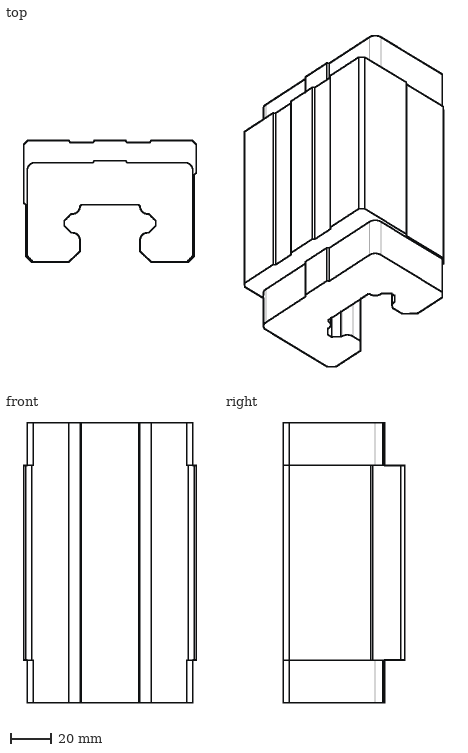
import cadquery as cq
import math


total_length = 139.4
body_length = 97.0

body_width = 86.0
body_height = 60.5
body_top_chamfer = 2.0
base_chamfer = 3.0
side_relief = 1.0
left_relief_height = 29.5
right_relief_height = 44.5

recess_depth = 1.0
recess_wall = 0.75
recess_inner = 7.75
recess_outer = 20.5

cap_width = 82.4
cap_height = 49.5
cap_corner_radius = 4.0
cap_pad_rise = 1.0

mouth_half_width = 20.5
lip_half_width = 14.9
lip_start_height = 5.3
lip_radius = 3.9
roof_half_width = 14.2
roof_height = 28.4
groove_center_height = 19.25
groove_half_width = 22.65
groove_floor_half = 1.3
groove_mouth_half = 4.6


def body_block():
    half = body_width / 2
    waist = half - side_relief
    recess_floor = body_height - recess_depth
    outline = cq.Workplane("XY").polyline([
        (-waist + base_chamfer, 0),
        (waist - base_chamfer, 0),
        (waist, base_chamfer),
        (waist, right_relief_height - side_relief),
        (half, right_relief_height),
        (half, body_height - body_top_chamfer),
        (half - body_top_chamfer, body_height),
        (recess_outer, body_height),
        (recess_outer - recess_wall, recess_floor),
        (recess_inner + recess_wall, recess_floor),
        (recess_inner, body_height),
        (-recess_inner, body_height),
        (-recess_inner - recess_wall, recess_floor),
        (-recess_outer + recess_wall, recess_floor),
        (-recess_outer, body_height),
        (-half + body_top_chamfer, body_height),
        (-half, body_height - body_top_chamfer),
        (-half, left_relief_height),
        (-waist, left_relief_height - side_relief),
        (-waist, base_chamfer),
    ]).close()
    return outline.extrude(body_length / 2, both=True)


def cap_blocks():
    """Both end caps as one full-length bar, which lies inside the body between its ends."""
    bar = cq.Workplane("XY").center(0, cap_height / 2).rect(cap_width, cap_height)
    bar = bar.extrude(total_length / 2, both=True)
    bar = bar.edges("|Z and >Y").fillet(cap_corner_radius)
    bar = bar.edges("|Z and <Y").chamfer(base_chamfer)
    pad_base = recess_inner + recess_wall
    pad = cq.Workplane("XY").polyline([
        (-pad_base, cap_height),
        (pad_base, cap_height),
        (recess_inner, cap_height + cap_pad_rise),
        (-recess_inner, cap_height + cap_pad_rise),
    ]).close().extrude(total_length / 2, both=True)
    return bar.union(pad)


def rail_opening_half():
    """The half of the rail opening on the +X side, over the full length."""
    groove_edge = groove_half_width - (groove_mouth_half - groove_floor_half)
    lip_round_end = lip_half_width + lip_radius
    lip_round_middle = lip_round_end - lip_radius * math.sqrt(0.5)
    round_middle_rise = groove_mouth_half + lip_radius * (1 - math.sqrt(0.5))
    lip_round_rise = groove_mouth_half + lip_radius
    middle = groove_center_height

    outline = cq.Workplane("XY").lineTo(mouth_half_width, 0)
    outline = outline.lineTo(lip_half_width, lip_start_height)
    outline = outline.lineTo(lip_half_width, middle - lip_round_rise)
    outline = outline.threePointArc(
        (lip_round_middle, middle - round_middle_rise),
        (lip_round_end, middle - groove_mouth_half),
    )
    outline = outline.lineTo(groove_edge, middle - groove_mouth_half)
    outline = outline.lineTo(groove_half_width, middle - groove_floor_half)
    outline = outline.lineTo(groove_half_width, middle + groove_floor_half)
    outline = outline.lineTo(groove_edge, middle + groove_mouth_half)
    outline = outline.lineTo(lip_round_end, middle + groove_mouth_half)
    outline = outline.threePointArc(
        (lip_round_middle, middle + round_middle_rise),
        (lip_half_width, middle + lip_round_rise),
    )
    outline = outline.lineTo(roof_half_width, roof_height)
    outline = outline.lineTo(0, roof_height).close()
    return outline.extrude(total_length / 2, both=True)


opening = rail_opening_half()
opening = opening.union(opening.mirror("YZ"))
result = body_block().union(cap_blocks()).cut(opening)